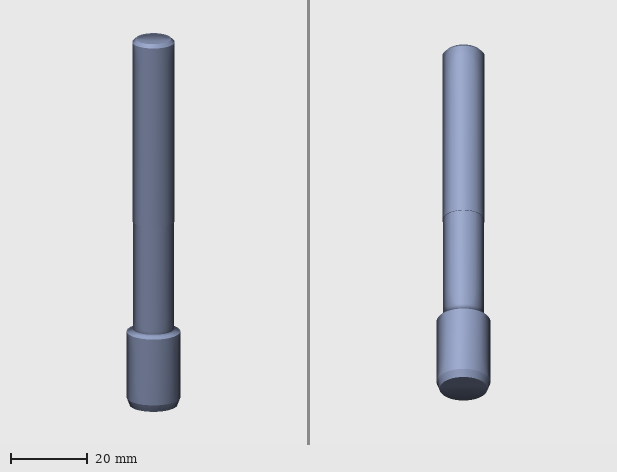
import cadquery as cq

total_length = 100.0

shank_diameter = 10.7
upper_diameter = 11.0
upper_length = 49.8
tip_chamfer = 0.9

sleeve_diameter = 14.0
sleeve_height = 20.8
shoulder_height = 0.8
nose_height = 2.0
nose_diameter = 12.5


def make_stud():
    """Shank running the full length, thickened and chamfered at the top."""
    shank = cq.Workplane("XY").circle(shank_diameter / 2).extrude(total_length - upper_length)
    upper = (
        cq.Workplane("XY", origin=(0, 0, total_length - upper_length))
        .circle(upper_diameter / 2)
        .extrude(upper_length)
        .faces(">Z")
        .chamfer(tip_chamfer)
    )
    return shank.union(upper)


def make_sleeve():
    """Ring bored to the shank, with a tapered nose and a conical shoulder."""
    bore_radius = shank_diameter / 2
    outer_radius = sleeve_diameter / 2
    half_section = (
        cq.Workplane("XZ")
        .moveTo(bore_radius, 0)
        .lineTo(nose_diameter / 2, 0)
        .lineTo(outer_radius, nose_height)
        .lineTo(outer_radius, sleeve_height - shoulder_height)
        .lineTo(bore_radius, sleeve_height)
        .close()
    )
    return half_section.revolve(360, (0, 0, 0), (0, 1, 0))


stud = make_stud()
sleeve = make_sleeve()

result = cq.Compound.makeCompound([stud.val(), sleeve.val()])